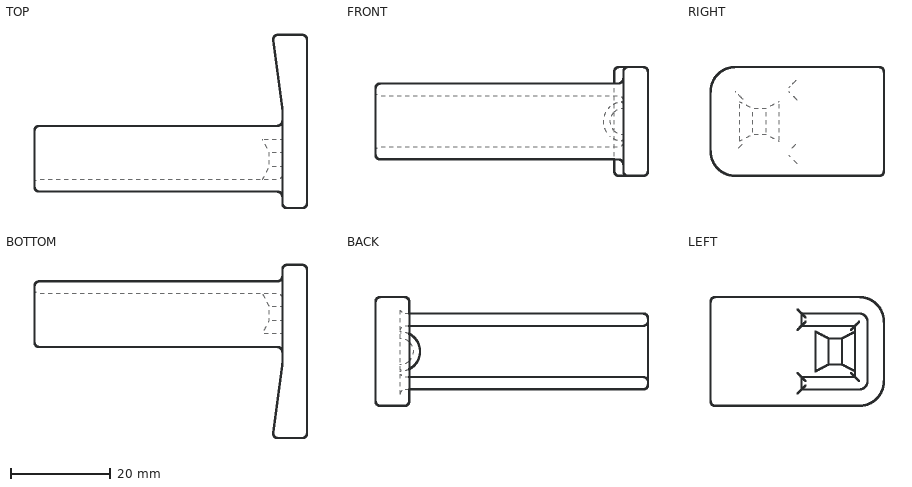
import cadquery as cq

TOTAL_LENGTH = 55.0
PLATE_WIDTH = 35.0
PLATE_HEIGHT = 22.0
PLATE_THICKNESS = 5.0
PLATE_CORNER_RADIUS = 5.0
WEDGE_START_Y = 20.0
WEDGE_RISE = 2.0

EDGE_RADIUS = 1.0

ARM_LENGTH = TOTAL_LENGTH - PLATE_THICKNESS
ARM_MARGIN = 3.33
ARM_WIDTH = 13.3
ARM_HEIGHT = PLATE_HEIGHT - 2 * ARM_MARGIN
ARM_WALL = 2.5
ARM_CORNER_RADIUS = PLATE_CORNER_RADIUS - ARM_MARGIN

PIN_LENGTH = 8.0
PIN_END_RADIUS = 4.0
PIN_WAIST_RADIUS = 2.65
PIN_WAIST_LENGTH = 2.8
PIN_AXIS_X = ARM_LENGTH

SELECTION_MARGIN = 0.01


def make_plate():
    """Plate thickened as a wedge toward +Y, with two large round corners at -Y and rounded edges."""
    front_x = ARM_LENGTH
    profile = [
        (front_x, 0),
        (TOTAL_LENGTH, 0),
        (TOTAL_LENGTH, PLATE_WIDTH),
        (front_x - WEDGE_RISE, PLATE_WIDTH),
        (front_x, WEDGE_START_Y),
    ]
    plate = cq.Workplane("XY").polyline(profile).close().extrude(PLATE_HEIGHT / 2, both=True)
    plate = plate.edges("|X and <Y").fillet(PLATE_CORNER_RADIUS)
    plate = plate.edges("|X and >Y").fillet(EDGE_RADIUS)
    return plate.edges("not |X").fillet(EDGE_RADIUS)


def make_arm():
    """U channel along X with two rounded outer corners."""
    outside = (
        cq.Workplane("XY")
        .box(ARM_LENGTH, ARM_WIDTH, ARM_HEIGHT, centered=(False, False, True))
        .translate((0, ARM_MARGIN, 0))
        .edges("|X and <Y")
        .fillet(ARM_CORNER_RADIUS)
    )
    channel = (
        cq.Workplane("XY")
        .box(ARM_LENGTH, ARM_WIDTH, ARM_HEIGHT - 2 * ARM_WALL, centered=(False, False, True))
        .translate((0, ARM_MARGIN + ARM_WALL, 0))
    )
    return outside.cut(channel)


def make_pin():
    """Pin of revolution about an axis parallel to Y, coned down to a straight waist."""
    start_y = ARM_MARGIN + ARM_WALL
    end_y = start_y + PIN_LENGTH
    cone_length = (PIN_LENGTH - PIN_WAIST_LENGTH) / 2
    end_x = PIN_AXIS_X - PIN_END_RADIUS
    waist_x = PIN_AXIS_X - PIN_WAIST_RADIUS
    half_profile = [
        (PIN_AXIS_X, start_y),
        (end_x, start_y),
        (waist_x, start_y + cone_length),
        (waist_x, end_y - cone_length),
        (end_x, end_y),
        (PIN_AXIS_X, end_y),
    ]
    return (
        cq.Workplane("XY")
        .polyline(half_profile)
        .close()
        .revolve(360, (PIN_AXIS_X, start_y), (PIN_AXIS_X, end_y))
    )


def blend_arm_root(bracket):
    """Fillet the edges where the arm meets the front face of the plate."""
    half_height = ARM_HEIGHT / 2 + SELECTION_MARGIN
    root_box = cq.selectors.BoxSelector(
        (ARM_LENGTH - SELECTION_MARGIN, ARM_MARGIN - SELECTION_MARGIN, -half_height),
        (ARM_LENGTH + SELECTION_MARGIN, ARM_MARGIN + ARM_WIDTH + SELECTION_MARGIN, half_height),
        boundingbox=True,
    )
    return bracket.edges(root_box).fillet(EDGE_RADIUS)


def round_arm_tip(bracket):
    """Round every edge of the arm's free end."""
    return bracket.faces("<X").edges().fillet(EDGE_RADIUS)


body = make_plate().union(make_arm())
body = blend_arm_root(body)
body = round_arm_tip(body)
result = body.union(make_pin())